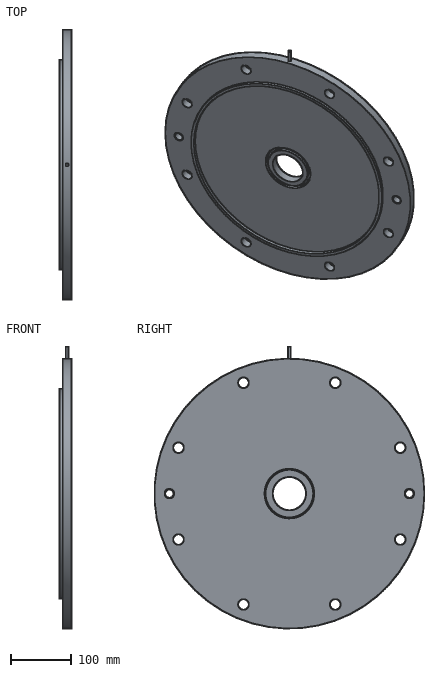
import cadquery as cq
import math

flange_diameter = 450.0
flange_thickness = 15.0

rim_outer_diameter = 350.0
rim_inner_diameter = 340.0
rim_height = 5.0
recess_depth = 1.0

opening_diameter = 82.0
hub_diameter = 80
hub_boss_diameter = 72.0
hub_bore_diameter = 55.0
hub_step_depth = 5.0

pitch_diameter = 400.0
bolt_hole_count = 8
bolt_hole_diameter = 17.5
bushing_count = 2
bushing_diameter = 16.0
bushing_bore_diameter = 13.5

pin_diameter = 5.0
pin_projection = 19.7


def cylinder_x(diameter, x_start, x_end, y=0, z=0):
    """Cylinder parallel to X between two X positions."""
    return (
        cq.Workplane("YZ", origin=(x_start, y, z))
        .circle(diameter / 2)
        .extrude(x_end - x_start)
    )


def pitch_points(count, first_angle):
    """Evenly spaced (Y, Z) places on the pitch circle."""
    radius = pitch_diameter / 2
    angles = [math.radians(first_angle + 360 * i / count) for i in range(count)]
    return [(radius * math.cos(a), radius * math.sin(a)) for a in angles]


bolt_points = pitch_points(bolt_hole_count, 180 / bolt_hole_count)
bushing_points = pitch_points(bushing_count, 0)


def make_plate():
    plate = cylinder_x(flange_diameter, 0, flange_thickness)
    rim = cylinder_x(rim_outer_diameter, -rim_height, 0)
    rim = rim.cut(cylinder_x(rim_inner_diameter, -rim_height, 0))
    plate = plate.union(rim)
    plate = plate.cut(cylinder_x(rim_inner_diameter, 0, recess_depth))
    plate = plate.cut(cylinder_x(opening_diameter, 0, flange_thickness))
    for y, z in bolt_points:
        plate = plate.cut(cylinder_x(bolt_hole_diameter, 0, flange_thickness, y, z))
    for y, z in bushing_points:
        plate = plate.cut(cylinder_x(bushing_diameter, 0, flange_thickness, y, z))
    return plate


def make_hub():
    """Stepped ring whose narrow boss is level with the flange front face."""
    hub = cylinder_x(hub_diameter, hub_step_depth, flange_thickness)
    hub = hub.union(cylinder_x(hub_boss_diameter, 0, flange_thickness))
    return hub.cut(cylinder_x(hub_bore_diameter, 0, flange_thickness))


def make_bushing(y, z):
    bushing = cylinder_x(bushing_diameter, 0, flange_thickness, y, z)
    return bushing.cut(cylinder_x(bushing_bore_diameter, 0, flange_thickness, y, z))


def make_pin():
    """Radial pin whose foot follows the round edge of the flange."""
    pin = (
        cq.Workplane("XY", origin=(flange_thickness / 2, 0, 0))
        .circle(pin_diameter / 2)
        .extrude(flange_diameter / 2 + pin_projection)
    )
    return pin.cut(cylinder_x(flange_diameter, 0, flange_thickness))


plate = make_plate()
hub = make_hub()
bushings = [make_bushing(y, z) for y, z in bushing_points]
pin = make_pin()

result = cq.Compound.makeCompound(
    [plate.val(), hub.val(), *[bushing.val() for bushing in bushings], pin.val()]
)